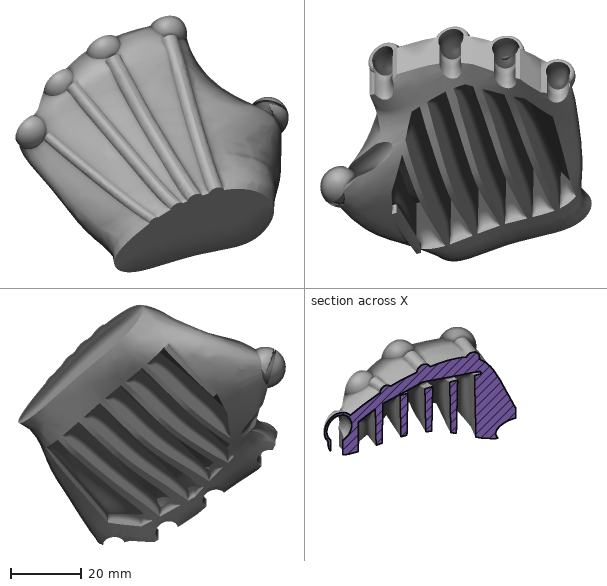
import cadquery as cq
import math


SKIN_SECTIONS = [
    (0.0, [
        (20.8, 14), (16, 23.5), (7, 28.7), (-3, 29.6), (-12, 27.6), (-21, 22.6), (-28.3, 14),
        (-22, 6), (-3, 4.8), (14, 3.4),
    ]),
    (-10.0, [
        (26, 12), (19, 23), (8, 28.5), (-4, 29.6), (-14, 27), (-23, 22.4), (-29, 13.5),
        (-22, 5.5), (-3, 4.2), (17, 1.6),
    ]),
    (-20.0, [
        (31.3, 9), (23, 22.5), (9, 29.6), (-5, 30.7), (-17, 28.2), (-27, 22.6), (-33, 15.5),
        (-25, 7.3), (-3, 4.4), (22, 0.8),
    ]),
    (-31.0, [
        (36.2, 9), (28, 22), (11, 31.8), (-6, 32.3), (-19, 30), (-31, 23.5), (-36, 18.3),
        (-29, 12), (-4, 6.5), (26, 0.9),
    ]),
    (-42.0, [
        (36, 11), (25, 17.5), (12, 34), (-7, 35.2), (-21, 31.8), (-33, 26), (-38.5, 20.2),
        (-31, 15), (-4, 14), (24, 5.4),
    ]),
    (-50.0, [
        (20, 20), (17.5, 27), (12, 36.3), (-7, 37.8), (-21, 33.8), (-32, 28.3), (-37, 23),
        (-30, 17.2), (-7, 20), (12, 16.2),
    ]),
    (-56.5, [
        (20, 25), (18, 30), (12, 36.2), (-7, 37.4), (-21, 32), (-31, 27), (-35, 23),
        (-30, 19), (-7, 24.6), (12, 20.6),
    ]),
    (-62.0, [
        (20, 27), (18, 28.5), (12, 31), (-7, 31.5), (-21, 28.5), (-31, 26.5), (-35, 25.5),
        (-30, 24), (-7, 30), (12, 28),
    ]),
]
BACK_POINTS = slice(1, 7)

FRONT_X = -60.81
TALL = 100.0
PLAN_REACH = 60.0

THUMB_FRONT = [(-36.5, 37.0), (-48.7, 17.3)]
KNUCKLE_ROW = [(-58.0, 17.3), (FRONT_X, 8.0), (-58.4, -14.0), (-54.5, -27.0), (-49.0, -31.2), (-44.3, -40.0)]

POCKET_REAR_X = -9.9
POCKET_THUMB_Y = 21.0
EDGE_RIB_FRONT_X = -30.0
POCKET_PLAN = [
    (POCKET_REAR_X, POCKET_THUMB_Y),
    (EDGE_RIB_FRONT_X, POCKET_THUMB_Y),
    (-36.9, 18.5),
    (-51.5, 7.0),
    (-53.5, -10.0),
    (-48.0, -26.0),
    (-40.0, -31.5),
    (-25.0, -29.5),
    (POCKET_REAR_X, -27.3),
]
POCKET_FLOOR_Z = -10.0
ROOF_THICKNESS = 4.0
RIB_PITCH = 8.3
RIB_COUNT = 5
FIRST_RIB_Y = 11.6
RIB_FOOT_WIDTH = 1.4
RIB_HEAD_WIDTH = 2.8
RIB_HEAD_Z = 30.0
EDGE_RIB_END_Z = 0.9
EDGE_RIB_TOP_Z = 4.0

FINGER_SOCKETS = [
    ((-57.0, 12.2, 33.6), 5.5, 2.8, 10.0, 4.5),
    ((-56.5, -7.4, 34.92), 5.4, 2.0, -2.0, 4.5),
    ((-53.3, -22.2, 30.2), 5.4, 1.7, -13.0, 4.5),
    ((-45.0, -34.9, 24.6), 5.0, 2.2, -22.0, 4.1),
]
THUMB_SOCKET = ((-36.0, 34.2, 9.8), 5.9, 2.0, 30.5, 4.9)
RIM_CHAMFER = 0.4

SLOT_RADIUS = 3.2
COLUMN_RADIUS = 4.3
THUMB_SLOT_START = 5.0
THUMB_SLOT_END = 22.5

TENDONS = [
    ((-52.5, 10.7), 2.9, 2.5),
    ((-51.3, -7.2), -3.4, 2.5),
    ((-49.4, -20.4), -8.7, 2.1),
    ((-40.8, -31.6), -15.5, 1.6),
]
TENDON_SINK = 0.8
TENDON_SPANS = 5
TENDON_OVERRUN = 1.0
PROBE_INSET = 0.01


def smooth_loft(wires):
    return cq.Workplane(cq.occ_impl.shapes.loft(*wires, cap=True, parametrization="chordal"))


def section_wire(x, outline):
    """Smooth closed section; equal parameter steps keep all sections compatible."""
    points = [cq.Vector(x, y, z) for y, z in outline]
    steps = [float(step) for step in range(len(points) + 1)]
    return cq.Wire.assembleEdges([cq.Edge.makeSpline(points, periodic=True, parameters=steps)])


def make_skin():
    wires = [section_wire(x, outline) for x, outline in SKIN_SECTIONS]
    return smooth_loft(wires)


def prism(outline):
    """Tall prism over an XY outline, spanning the whole height of the part."""
    return cq.Workplane("XY").workplane(offset=-TALL / 2).polyline(outline).close().extrude(TALL)


def make_plan_prism():
    thumb_corners = [(0.0, PLAN_REACH), (THUMB_FRONT[0][0], PLAN_REACH)]
    little_corners = [(KNUCKLE_ROW[-1][0], -PLAN_REACH), (0.0, -PLAN_REACH)]
    return prism(thumb_corners + THUMB_FRONT + KNUCKLE_ROW + little_corners)


def surface_height(skin, x, y):
    """Height of the back of the hand above a plan position."""
    probe = cq.Edge.makeLine(cq.Vector(x, y, 0), cq.Vector(x, y, TALL))
    return skin.val().intersect(probe).BoundingBox().zmax


def make_tendon(skin, tendon):
    """Tube that follows the back of the hand and overruns the wrist face."""
    (start_x, start_y), wrist_y, radius = tendon
    points = []
    for span in range(TENDON_SPANS + 1):
        fraction = span / TENDON_SPANS
        x = start_x * (1 - fraction)
        y = start_y + (wrist_y - start_y) * fraction
        z = surface_height(skin, min(x, -PROBE_INSET), y) - TENDON_SINK
        points.append(cq.Vector(x, y, z))
    points[-1] = points[-1] + cq.Vector(TENDON_OVERRUN, 0, 0)
    path = cq.Edge.makeSpline(points)
    rings = []
    for span, point in enumerate(points):
        rings.append(cq.Wire.makeCircle(radius, point, path.tangentAt(span / TENDON_SPANS)))
    return smooth_loft(rings)


def make_rib(center_y):
    """Rib along X that narrows toward the palm side."""
    foot = RIB_FOOT_WIDTH / 2
    head = RIB_HEAD_WIDTH / 2
    outline = [
        (center_y - foot, 0),
        (center_y + foot, 0),
        (center_y + head, RIB_HEAD_Z),
        (center_y - head, RIB_HEAD_Z),
    ]
    return cq.Workplane("YZ").polyline(outline).close().extrude(-TALL)


def make_hollow():
    """Everything below the roof and inside the pocket plan."""
    wires = []
    for x, outline in SKIN_SECTIONS:
        roof = [(y, z - ROOF_THICKNESS) for y, z in outline[BACK_POINTS]]
        thumb_wall = [(PLAN_REACH, POCKET_FLOOR_Z), (PLAN_REACH, roof[0][1])]
        little_wall = [(-PLAN_REACH, roof[-1][1]), (-PLAN_REACH, POCKET_FLOOR_Z)]
        corners = [cq.Vector(x, y, z) for y, z in thumb_wall + roof + little_wall]
        wires.append(cq.Wire.makePolygon(corners, close=True))
    return smooth_loft(wires).intersect(prism(POCKET_PLAN))


def make_pockets():
    """Hollow divided by the ribs and kept clear of the columns around the finger channels."""
    pockets = make_hollow()
    for index in range(RIB_COUNT):
        pockets = pockets.cut(make_rib(FIRST_RIB_Y - index * RIB_PITCH))
    for socket in FINGER_SOCKETS:
        pockets = pockets.cut(finger_cylinder(socket, COLUMN_RADIUS))
    return pockets


def make_edge_rib():
    """Rib along the thumb wall of the pocket; its bowed foot is the lowest line of the part."""
    middle_x = (POCKET_REAR_X + EDGE_RIB_FRONT_X) / 2
    return (
        cq.Workplane("XZ", origin=(0, POCKET_THUMB_Y, 0))
        .moveTo(EDGE_RIB_FRONT_X, EDGE_RIB_TOP_Z)
        .lineTo(EDGE_RIB_FRONT_X, EDGE_RIB_END_Z)
        .threePointArc((middle_x, 0), (POCKET_REAR_X, EDGE_RIB_END_Z))
        .lineTo(POCKET_REAR_X, EDGE_RIB_TOP_Z)
        .close()
        .extrude(RIB_FOOT_WIDTH)
    )


def mouth_plane(socket):
    """Plane of the flat mouth; its normal points out and its X axis is horizontal."""
    center, _, mouth_offset, azimuth, _ = socket
    angle = math.radians(azimuth)
    outward = cq.Vector(-math.cos(angle), math.sin(angle), 0)
    origin = cq.Vector(*center) + outward * mouth_offset
    return cq.Plane(origin=origin.toTuple(), xDir=(outward.y, -outward.x, 0), normal=outward.toTuple())


def in_front_of(socket):
    """Block that fills the space before a mouth."""
    width = 4 * socket[1]
    return cq.Workplane(mouth_plane(socket)).rect(width, TALL).extrude(width / 2)


def make_boss(socket):
    """Ball cut off flat at its mouth, with a chamfered rim."""
    center, radius, _, _, _ = socket
    ball = cq.Workplane("XY").sphere(radius).translate(center).cut(in_front_of(socket))
    mouth = cq.selectors.DirectionMinMaxSelector(mouth_plane(socket).zDir)
    return ball.faces(mouth).chamfer(RIM_CHAMFER)


def finger_cylinder(socket, radius):
    """Vertical cylinder below a finger ball, centred on its mouth."""
    mouth = mouth_plane(socket).origin
    height = mouth.z - POCKET_FLOOR_Z
    return cq.Workplane("XY", origin=(mouth.x, mouth.y, POCKET_FLOOR_Z)).circle(radius).extrude(height)


def make_cup(socket):
    return cq.Workplane("XY").sphere(socket[4]).translate(socket[0])


def make_thumb_slot():
    """Horizontal channel along the thumb front, starting beside the ball."""
    along = mouth_plane(THUMB_SOCKET).xDir * -1
    start = mouth_plane(THUMB_SOCKET).origin + along * THUMB_SLOT_START
    length = THUMB_SLOT_END - THUMB_SLOT_START
    return cq.Workplane(cq.Solid.makeCylinder(SLOT_RADIUS, length, start, along))


def make_beyond_wrist():
    """Space past the wrist face, where the tendon tubes overrun."""
    return cq.Workplane("YZ").rect(2 * TALL, 2 * TALL).extrude(2 * TENDON_OVERRUN)


skin = make_skin()
palm = skin.val().cut(*make_pockets().vals())
palm = palm.intersect(make_plan_prism().val())

sockets = FINGER_SOCKETS + [THUMB_SOCKET]
bosses = [make_boss(socket).val() for socket in sockets]
palm = palm.fuse(make_edge_rib().val(), *bosses)
cups = [make_cup(socket).val() for socket in sockets]
slots = [finger_cylinder(socket, SLOT_RADIUS).val() for socket in FINGER_SOCKETS]
palm = palm.cut(make_thumb_slot().val(), *cups, *slots)

tendons = [make_tendon(skin, tendon).val() for tendon in TENDONS]
palm = palm.fuse(*tendons).cut(make_beyond_wrist().val())

result = cq.Workplane(palm.Solids()[0])